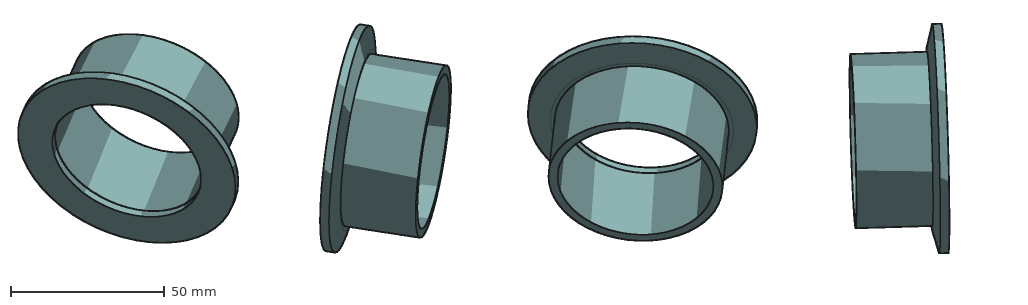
import cadquery as cq

flange_diameter = 75.0
tube_diameter = 57.0
bore_diameter = 51.0
recess_diameter = 51.2
cone_end_diameter = 60.0
total_length = 30.0
rim_thickness = 3.0
flange_thickness = 5.0
recess_depth = 2.6

front_y = -total_length / 2


def disc(diameter, length):
    """Cylinder along +Y that starts at the flange face."""
    plane = cq.Plane(origin=(0, front_y, 0), xDir=(1, 0, 0), normal=(0, 1, 0))
    return cq.Workplane(plane).circle(diameter / 2).extrude(length)


def flange():
    """Flat-faced flange with a straight rim and a conical back."""
    profile = [
        (0, front_y),
        (flange_diameter / 2, front_y),
        (flange_diameter / 2, front_y + rim_thickness),
        (cone_end_diameter / 2, front_y + flange_thickness),
        (0, front_y + flange_thickness),
    ]
    return cq.Workplane("XY").polyline(profile).close().revolve(360, (0, 0, 0), (0, 1, 0))


body = flange().union(disc(tube_diameter, total_length))

body = body.cut(disc(bore_diameter, total_length))
result = body.cut(disc(recess_diameter, recess_depth))